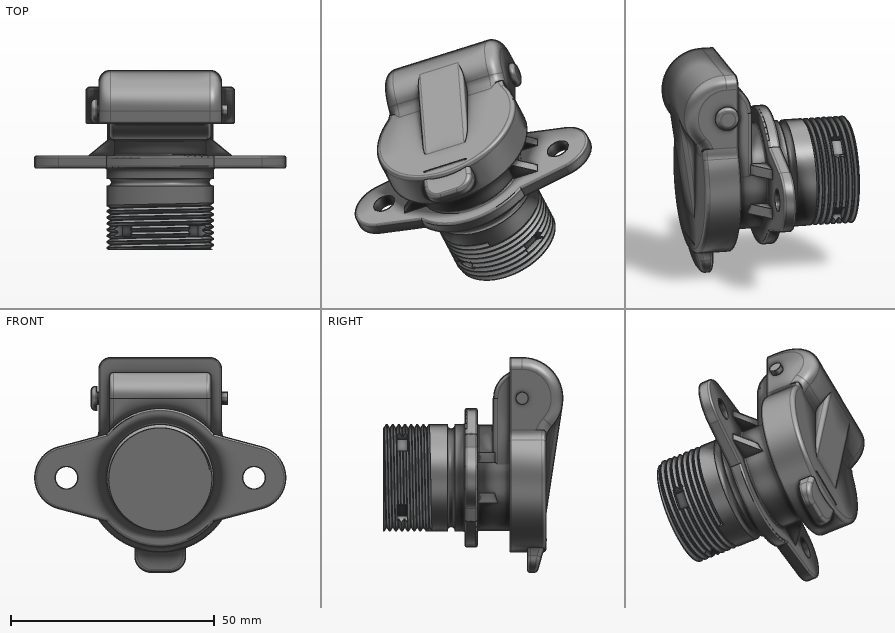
import cadquery as cq
import math


barrel_radius = 13.1
rear_barrel_radius = 12.9
barrel_front_y = -19.99
root_fillet = 0.4

ring_groove_rear_y = -2.5
ring_groove_width = 1.85
ring_groove_depth = 1.1

thread_pitch = 1.5
thread_depth = 0.85
thread_start_y = -8.73
thread_crest_flat = 0.15
thread_root_flat = 0.2
thread_cut_clearance = 0.1

pocket_length = 2.65
pocket_center_y = -15.4
pocket_wall_z = 6.55
pocket_floor_x = 9.25
pocket_floor_run = 2.85
pocket_upper_wall_angle = 60.0

flange_thickness = 3.0
flange_radius = 17.0
ear_radius = 7.82
ear_hole_x = 23.0
ear_hole_diameter = 5.5
ear_taper_angle = 15.0
flange_edge_fillet = 0.5

rib_thickness = 2.5
rib_center_z = 5.0
rib_foot_x = 17.6
rib_slope = 0.81
rib_inner_x = 8.0

cover_front_y = 11.0
cover_back_y = 19.9
cover_radius = 18.25
cover_back_fillet = 1.0
cover_front_fillet = 0.35
neck_radius = 5.0

pin_y = 14.0
hood_radius = 10.0
hood_half_width = 15.05
hood_edge_fillet = 2.9
hood_top_z = 29.5
pin_z = hood_top_z - hood_radius
hood_blend_radius = 5.0

ramp_width = 12.0
ramp_foot_z = -8.5
ramp_edge_fillet = 1.0

lug_radius = 7.0
lug_face_y = 6.9
lug_root_fillet = 0.35
lug_half_width = 12.45
lug_bottom_z = 3.2
lug_edge_fillet = 1.0

pin_radius = 1.5
pin_head_radius = 2.95
pin_head_fillet = 1.1
pin_head_outer_x = -16.95
pin_head_length = 1.4
pin_end_x = 16.5

tab_half_width = 6.25
tab_bottom_z = -23.23
tab_front_y = 15.3
tab_tip_back_y = 17.65
tab_root_back_y = 19.3
tab_root_z = -17.5
tab_overlap = 2.5
tab_corner_radius = 4.1
tab_front_fillet = 0.7
tab_back_fillet = 1.1


def cylinder_y(radius, y_start, y_end):
    """Solid cylinder on the barrel axis between two Y positions."""
    return cq.Workplane("XZ", origin=(0, y_start, 0)).circle(radius).extrude(y_start - y_end)


def make_flange():
    """Round plate with two tapered ears, rounded along both faces."""
    taper = math.radians(ear_taper_angle)
    tangent_x = ear_hole_x + ear_radius * math.sin(taper)
    tangent_z = ear_radius * math.cos(taper)
    line_distance = ear_hole_x * math.sin(taper) + ear_radius
    corner_angle = math.pi / 2 - taper - math.acos(line_distance / flange_radius)
    corner_x = flange_radius * math.cos(corner_angle)
    corner_z = flange_radius * math.sin(corner_angle)
    flange = (
        cq.Workplane("XZ")
        .moveTo(corner_x, corner_z)
        .lineTo(tangent_x, tangent_z)
        .threePointArc((ear_hole_x + ear_radius, 0), (tangent_x, -tangent_z))
        .lineTo(corner_x, -corner_z)
        .threePointArc((0, -flange_radius), (-corner_x, -corner_z))
        .lineTo(-tangent_x, -tangent_z)
        .threePointArc((-ear_hole_x - ear_radius, 0), (-tangent_x, tangent_z))
        .lineTo(-corner_x, corner_z)
        .threePointArc((0, flange_radius), (corner_x, corner_z))
        .close()
        .extrude(-flange_thickness)
        .faces("<Y or >Y")
        .edges()
        .fillet(flange_edge_fillet)
    )
    holes = (
        cq.Workplane("XZ")
        .pushPoints([(-ear_hole_x, 0), (ear_hole_x, 0)])
        .circle(ear_hole_diameter / 2)
        .extrude(-flange_thickness)
    )
    return flange.cut(holes)


def make_ring_groove():
    """Ring with a rounded inner side that cuts the O-ring groove."""
    front_y = ring_groove_rear_y - ring_groove_width
    middle_y = ring_groove_rear_y - ring_groove_width / 2
    return (
        cq.Workplane("XY")
        .moveTo(barrel_radius, ring_groove_rear_y)
        .threePointArc((barrel_radius - ring_groove_depth, middle_y), (barrel_radius, front_y))
        .lineTo(barrel_radius + ring_groove_depth, front_y)
        .lineTo(barrel_radius + ring_groove_depth, ring_groove_rear_y)
        .close()
        .revolve(360, (0, 0, 0), (0, 1, 0))
    )


def make_thread_groove():
    """Helical V groove that runs off the front end of the barrel."""
    root_radius = barrel_radius - thread_depth
    outer_radius = barrel_radius + thread_cut_clearance
    root_half = thread_root_flat / 2
    crest_half = (thread_pitch - thread_crest_flat) / 2
    outer_half = root_half + (crest_half - root_half) * (outer_radius - root_radius) / thread_depth
    length = thread_start_y - barrel_front_y + thread_pitch
    helix = cq.Wire.makeHelix(
        thread_pitch, length, root_radius, cq.Vector(0, thread_start_y, 0), cq.Vector(0, -1, 0)
    )
    start = helix.startPoint()
    radial = cq.Vector(start.x, 0, start.z).normalized()
    profile_plane = cq.Plane(
        origin=(0, thread_start_y, 0), xDir=radial, normal=radial.cross(cq.Vector(0, 1, 0))
    )
    return (
        cq.Workplane(profile_plane)
        .polyline(
            [
                (root_radius, -root_half),
                (outer_radius, -outer_half),
                (outer_radius, outer_half),
                (root_radius, root_half),
            ]
        )
        .close()
        .sweep(cq.Workplane(helix), isFrenet=True)
    )


def make_thread_pockets():
    """Pockets with a 45 degree floor, one level wall and one leaning wall, mirrored into each quadrant."""
    angle = math.radians(pocket_upper_wall_angle)
    floor_end_x = pocket_floor_x - pocket_floor_run
    floor_end_z = pocket_wall_z + pocket_floor_run
    wall_reach = barrel_radius - pocket_floor_x
    pocket = (
        cq.Workplane("XZ", origin=(0, pocket_center_y, 0))
        .polyline(
            [
                (pocket_floor_x, pocket_wall_z),
                (barrel_radius, pocket_wall_z),
                (barrel_radius, barrel_radius),
                (floor_end_x + wall_reach * math.cos(angle), floor_end_z + wall_reach * math.sin(angle)),
                (floor_end_x, floor_end_z),
            ]
        )
        .close()
        .extrude(pocket_length / 2, both=True)
    )
    upper_pair = pocket.union(pocket.mirror("YZ"))
    return upper_pair.union(upper_pair.mirror("XY"))


def make_barrel():
    """Plain barrel through the flange, with small fillets where they meet."""
    front = cylinder_y(barrel_radius, 0, barrel_front_y)
    rear = cylinder_y(rear_barrel_radius, cover_front_y, 0)
    barrel = front.union(rear).union(make_flange())
    flange_zone = cq.selectors.BoxSelector(
        (-barrel_radius - 1, -0.1, -barrel_radius - 1),
        (barrel_radius + 1, flange_thickness + 0.1, barrel_radius + 1),
        boundingbox=True,
    )
    return barrel.edges(flange_zone).edges("%CIRCLE").fillet(root_fillet)


def make_lug_root():
    """Concave fillet along the arc where the lug face stands on the barrel."""
    flat_half_width = lug_half_width - lug_edge_fillet
    half_angle = math.degrees(math.asin(flat_half_width / rear_barrel_radius))
    arc_inset = lug_root_fillet * (1 - math.sqrt(0.5))
    overlap = lug_root_fillet
    sector = (
        cq.Workplane("XY")
        .moveTo(rear_barrel_radius - overlap, lug_face_y + overlap)
        .lineTo(rear_barrel_radius + lug_root_fillet, lug_face_y + overlap)
        .lineTo(rear_barrel_radius + lug_root_fillet, lug_face_y)
        .threePointArc(
            (rear_barrel_radius + arc_inset, lug_face_y - arc_inset),
            (rear_barrel_radius, lug_face_y - lug_root_fillet),
        )
        .lineTo(rear_barrel_radius - overlap, lug_face_y - lug_root_fillet)
        .close()
        .revolve(2 * half_angle, (0, 0, 0), (0, 1, 0))
    )
    return sector.rotate((0, 0, 0), (0, 1, 0), -90 - half_angle)


def make_rib(side, level):
    """Triangular gusset; side and level are +1 or -1."""
    rib_top_y = flange_thickness + rib_slope * (rib_foot_x - rib_inner_x)
    return (
        cq.Workplane("XY", origin=(0, 0, level * rib_center_z))
        .polyline(
            [
                (side * rib_inner_x, flange_thickness / 2),
                (side * rib_foot_x, flange_thickness / 2),
                (side * rib_foot_x, flange_thickness),
                (side * rib_inner_x, rib_top_y),
            ]
        )
        .close()
        .extrude(rib_thickness / 2, both=True)
    )


def make_cover_plate():
    """Round cover disc that necks smoothly into the width of the hinge hood."""
    blend_x = hood_half_width + neck_radius
    blend_z = math.sqrt((cover_radius + neck_radius) ** 2 - blend_x**2)
    share = cover_radius / (cover_radius + neck_radius)
    middle_angle = math.pi + math.atan2(blend_z, blend_x) / 2
    middle_x = blend_x + neck_radius * math.cos(middle_angle)
    middle_z = blend_z + neck_radius * math.sin(middle_angle)
    plate = (
        cq.Workplane("XZ", origin=(0, cover_front_y, 0))
        .moveTo(hood_half_width, blend_z)
        .threePointArc((middle_x, middle_z), (blend_x * share, blend_z * share))
        .threePointArc((0, -cover_radius), (-blend_x * share, blend_z * share))
        .threePointArc((-middle_x, middle_z), (-hood_half_width, blend_z))
        .close()
        .extrude(cover_front_y - cover_back_y)
    )
    return plate.faces(">Y").edges().fillet(cover_back_fillet)


def make_hood():
    """Rounded housing over the hinge, blending down into the cover back."""
    blend_y = cover_back_y + hood_blend_radius
    center_distance = hood_radius + hood_blend_radius
    blend_drop = math.sqrt(center_distance**2 - (blend_y - pin_y) ** 2)
    blend_z = pin_z - blend_drop
    share = hood_radius / center_distance
    touch_y = pin_y + (blend_y - pin_y) * share
    touch_z = pin_z - blend_drop * share
    blend_middle = (math.pi + math.atan2(blend_drop, pin_y - blend_y)) / 2
    hood = (
        cq.Workplane("YZ", origin=(-hood_half_width, 0, 0))
        .moveTo(cover_front_y, 0)
        .lineTo(cover_front_y, hood_top_z)
        .lineTo(pin_y, hood_top_z)
        .threePointArc((pin_y + hood_radius, pin_z), (touch_y, touch_z))
        .threePointArc(
            (
                blend_y + hood_blend_radius * math.cos(blend_middle),
                blend_z + hood_blend_radius * math.sin(blend_middle),
            ),
            (cover_back_y, blend_z),
        )
        .lineTo(cover_back_y, 0)
        .close()
        .extrude(2 * hood_half_width)
    )
    side_edges = hood.faces("<X or >X").edges("not(<Y or <Z)")
    return side_edges.fillet(hood_edge_fillet)


def make_ramp():
    """Sloped pad on the cover back, tangent to the hood."""
    offset_y = pin_y - cover_back_y
    offset_z = pin_z - ramp_foot_z
    reach = math.hypot(offset_y, offset_z)
    tangent_angle = math.atan2(-offset_z, -offset_y) + math.acos(hood_radius / reach)
    tangent_y = pin_y + hood_radius * math.cos(tangent_angle)
    tangent_z = pin_z + hood_radius * math.sin(tangent_angle)
    ramp = (
        cq.Workplane("YZ")
        .polyline(
            [
                (cover_back_y, ramp_foot_z),
                (tangent_y, tangent_z),
                (pin_y, pin_z),
                (pin_y, ramp_foot_z),
            ]
        )
        .close()
        .extrude(ramp_width / 2, both=True)
    )
    slope_middle = (0, (cover_back_y + tangent_y) / 2, (ramp_foot_z + tangent_z) / 2)
    slope_face = ramp.faces(cq.selectors.NearestToPointSelector(slope_middle))
    return slope_face.edges("<X or >X").fillet(ramp_edge_fillet)


def make_tab():
    """Finger tab below the cover, with rounded corners and edges."""
    outline_top_z = tab_root_z + tab_overlap
    slope = (tab_root_back_y - tab_tip_back_y) / (tab_root_z - tab_bottom_z)
    top_back_y = tab_tip_back_y + slope * (outline_top_z - tab_bottom_z)
    tab = (
        cq.Workplane("YZ")
        .polyline(
            [
                (tab_front_y, outline_top_z),
                (top_back_y, outline_top_z),
                (tab_tip_back_y, tab_bottom_z),
                (tab_front_y, tab_bottom_z),
            ]
        )
        .close()
        .extrude(tab_half_width, both=True)
    )
    outline = (
        cq.Workplane("XZ")
        .rect(2 * tab_half_width, 2 * -tab_bottom_z)
        .extrude(-2 * cover_back_y)
        .edges("|Y")
        .fillet(tab_corner_radius)
    )
    tab = tab.intersect(outline)
    tab = tab.faces("<Y").edges("not >Z").fillet(tab_front_fillet)
    return tab.faces(">Y").edges("not >Z").fillet(tab_back_fillet)


def make_lug():
    """Hinge lug: a flat-faced block topped by a round about the pin axis."""
    block = (
        cq.Workplane("XY", origin=(0, 0, lug_bottom_z))
        .moveTo(-lug_half_width, lug_face_y)
        .lineTo(lug_half_width, lug_face_y)
        .lineTo(lug_half_width, pin_y)
        .lineTo(-lug_half_width, pin_y)
        .close()
        .extrude(pin_z - lug_bottom_z)
        .edges("|Z and <Y")
        .fillet(lug_edge_fillet)
    )
    top_round = (
        cq.Workplane("YZ", origin=(-lug_half_width, pin_y, pin_z))
        .circle(lug_radius)
        .extrude(2 * lug_half_width)
        .edges()
        .fillet(lug_edge_fillet)
    )
    rear_trim = cq.Workplane("XY", origin=(0, pin_y + lug_radius, pin_z)).box(
        4 * lug_half_width, 2 * lug_radius, 4 * lug_radius
    )
    return block.union(top_round.cut(rear_trim))


def make_pin():
    """Hinge pin with a rounded head on the -X side."""
    head = (
        cq.Workplane("YZ", origin=(pin_head_outer_x, pin_y, pin_z))
        .circle(pin_head_radius)
        .extrude(pin_head_length)
        .faces("<X")
        .edges()
        .fillet(pin_head_fillet)
    )
    shank = (
        cq.Workplane("YZ", origin=(pin_head_outer_x + pin_head_length, pin_y, pin_z))
        .circle(pin_radius)
        .extrude(pin_end_x - pin_head_outer_x - pin_head_length)
    )
    return head.union(shank)


def make_cover():
    """Cover plate and hood with a rounded front rim, plus the ramp and the finger tab."""
    cover = make_cover_plate().union(make_hood())
    cover = cover.faces("<Y").edges().fillet(cover_front_fillet)
    return cover.union(make_ramp()).union(make_tab())


result = make_barrel().union(make_lug()).union(make_lug_root())
for rib_side in (-1, 1):
    for rib_level in (-1, 1):
        result = result.union(make_rib(rib_side, rib_level))
result = result.union(make_cover()).union(make_pin())
result = result.cut(make_ring_groove())
result = result.cut(make_thread_groove(), clean=False)
result = result.cut(make_thread_pockets(), clean=False)